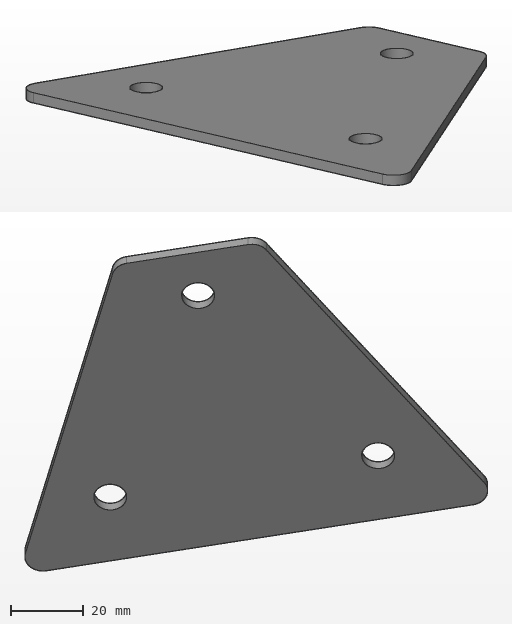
import cadquery as cq
import math

overall_width = 129.38
plate_depth = 102.0
thickness = 3.0
corner_radius = 5.0
narrow_flat_length = 34.0

hole_diameter = 9.0
hole_spacing = 75.0
apex_hole_setback = 15.0

wide_center_x = overall_width / 2 - corner_radius
wide_center_y = corner_radius
narrow_center_x = narrow_flat_length / 2
narrow_center_y = plate_depth - corner_radius

apex_hole_y = plate_depth - apex_hole_setback
base_hole_y = apex_hole_y - hole_spacing * math.sin(math.radians(60))
hole_centers = [
    (0, apex_hole_y),
    (-hole_spacing / 2, base_hole_y),
    (hole_spacing / 2, base_hole_y),
]


def arc_point(center_x, center_y, angle):
    """Point on a corner arc at the given angle from +X, in radians."""
    return (
        center_x + corner_radius * math.cos(angle),
        center_y + corner_radius * math.sin(angle),
    )


def mirrored(point):
    """The matching point on the -X side."""
    return (-point[0], point[1])


def make_plate():
    """Trapezoid plate whose straight edges are tangent to the corner arcs."""
    side_normal = math.atan2(wide_center_x - narrow_center_x, narrow_center_y - wide_center_y)
    straight_down = -math.pi / 2
    straight_up = math.pi / 2

    wide_start = arc_point(wide_center_x, wide_center_y, straight_down)
    wide_mid = arc_point(wide_center_x, wide_center_y, (straight_down + side_normal) / 2)
    wide_end = arc_point(wide_center_x, wide_center_y, side_normal)
    narrow_start = arc_point(narrow_center_x, narrow_center_y, side_normal)
    narrow_mid = arc_point(narrow_center_x, narrow_center_y, (side_normal + straight_up) / 2)
    narrow_end = arc_point(narrow_center_x, narrow_center_y, straight_up)

    return (
        cq.Workplane("XY")
        .moveTo(*wide_start)
        .threePointArc(wide_mid, wide_end)
        .lineTo(*narrow_start)
        .threePointArc(narrow_mid, narrow_end)
        .lineTo(*mirrored(narrow_end))
        .threePointArc(mirrored(narrow_mid), mirrored(narrow_start))
        .lineTo(*mirrored(wide_end))
        .threePointArc(mirrored(wide_mid), mirrored(wide_start))
        .close()
        .extrude(thickness)
    )


def drill_holes(plate):
    """Three through holes on an equilateral triangle."""
    return plate.faces(">Z").workplane(origin=(0, 0, thickness)).pushPoints(hole_centers).hole(hole_diameter)


result = drill_holes(make_plate())